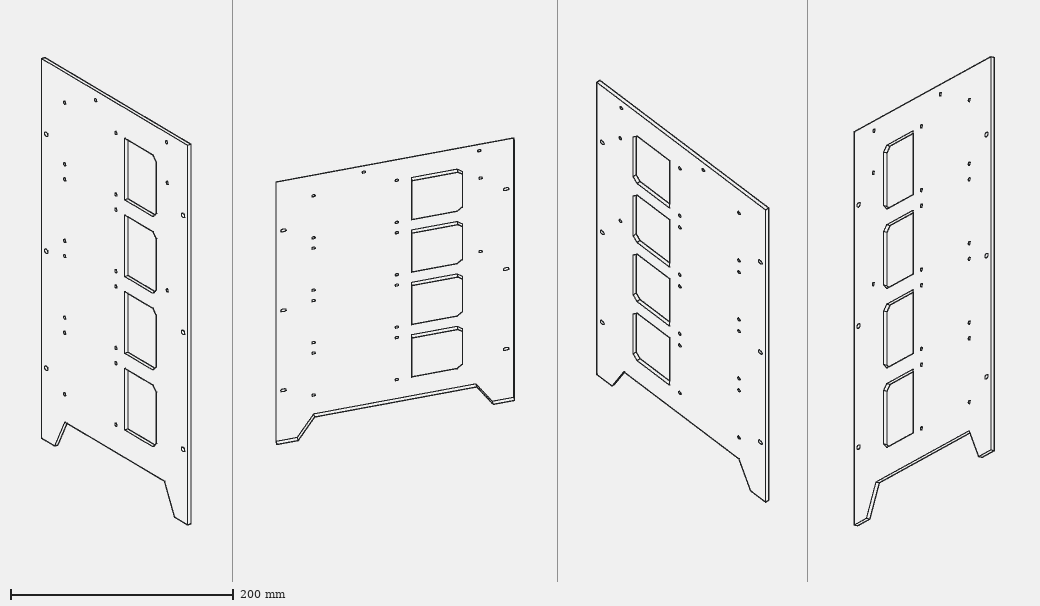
import cadquery as cq

width = 220.0
height = 381.0
thickness = 4.0

foot_width = 20.0
foot_top_width = 35.0
foot_height = 30.0

window_count = 4
window_pitch = 77.0
window_width = 47.2
window_height = 61.7
window_left = 15.2
window_corner = 5.0
first_window_z = 129.0
window_z = [first_window_z - i * window_pitch for i in range(window_count)]

hole_diameter = 3.0
mount_hole_x = (-75.0, 2.0)
top_hole_x = (-28.5, 78.0)
top_hole_z = 181.0
side_hole_x = 79.2
side_hole_z = (140.5, 32.8)

slot_length = 5.0
slot_height = 4.0
slot_x = 103.0
slot_pitch = 117.5


def through_cutter(sketch):
    """Extrude a sketch on the XZ plane through the whole plate."""
    return sketch.extrude(thickness, both=True)


def plate():
    half_width = width / 2
    bottom = -height / 2
    arch = bottom + foot_height
    outline = [
        (-half_width, -bottom),
        (-half_width, bottom),
        (-half_width + foot_width, bottom),
        (-half_width + foot_top_width, arch),
        (half_width - foot_top_width, arch),
        (half_width - foot_width, bottom),
        (half_width, bottom),
        (half_width, -bottom),
    ]
    return cq.Workplane("XZ").polyline(outline).close().extrude(thickness / 2, both=True)


def windows():
    centers = [(window_left + window_width / 2, z) for z in window_z]
    sketch = cq.Workplane("XZ").pushPoints(centers).rect(window_width, window_height)
    return through_cutter(sketch).edges("|Y").edges(">X").chamfer(window_corner)


def round_holes():
    centers = [(x, top_hole_z) for x in top_hole_x]
    centers += [(side_hole_x, z) for z in side_hole_z]
    for z in window_z:
        for x in mount_hole_x:
            centers += [(x, z + window_height / 2), (x, z - window_height / 2)]
    return through_cutter(cq.Workplane("XZ").pushPoints(centers).circle(hole_diameter / 2))


def edge_slots():
    centers = [(x, row * slot_pitch) for x in (-slot_x, slot_x) for row in (-1, 0, 1)]
    return through_cutter(cq.Workplane("XZ").pushPoints(centers).slot2D(slot_length, slot_height))


result = plate().cut(windows()).cut(round_holes()).cut(edge_slots())